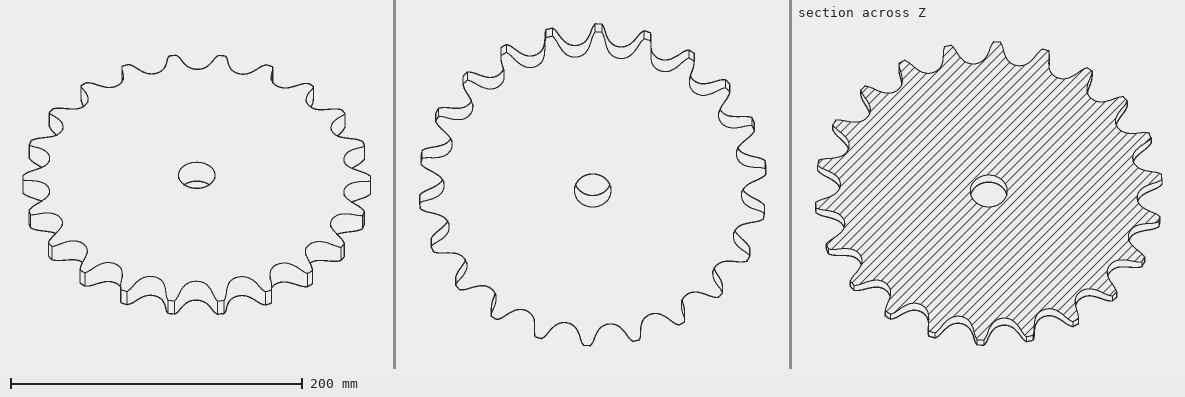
import cadquery as cq
import math

tooth_count = 22
outer_diameter = 238.3
pitch_diameter = 223.0
roller_diameter = 19.0
thickness = 18.5
bore_diameter = 25.0
flat_face_diameter = 209.2
tip_thickness = 12.9

half_pitch_angle = math.radians(180 / tooth_count)
seat_angle = math.radians(35 + 60 / tooth_count)
working_angle = math.radians(18 - 56 / tooth_count)
flank_angle = seat_angle - working_angle
seat_radius = 0.5025 * roller_diameter
working_offset = 0.8 * roller_diameter
working_radius = working_offset + seat_radius
topping_offset = 1.4 * roller_diameter

cutter_overhang = 2.5


def polar_offset(origin, distance, angle):
    """Point at a distance and angle from the origin point."""
    return (origin[0] + distance * math.cos(angle), origin[1] + distance * math.sin(angle))


def mirrored(point):
    """Point on the opposite flank of a gap that is centred on the Y axis."""
    return (-point[0], point[1])


def make_blank():
    """Solid disc whose rim tapers on both sides along arcs tangent to the flat faces."""
    flat_radius = flat_face_diameter / 2
    tip_radius = outer_diameter / 2
    half_thickness = thickness / 2
    half_tip = tip_thickness / 2
    taper_length = tip_radius - flat_radius
    taper_depth = half_thickness - half_tip
    taper_radius = (taper_length**2 + taper_depth**2) / (2 * taper_depth)
    taper_mid_angle = math.pi / 2 - math.asin(taper_length / taper_radius) / 2
    taper_centre = (flat_radius, half_thickness - taper_radius)
    taper_mid = polar_offset(taper_centre, taper_radius, taper_mid_angle)
    return (
        cq.Workplane("XZ")
        .moveTo(0, half_thickness)
        .lineTo(flat_radius, half_thickness)
        .threePointArc(taper_mid, (tip_radius, half_tip))
        .lineTo(tip_radius, -half_tip)
        .threePointArc((taper_mid[0], -taper_mid[1]), (flat_radius, -half_thickness))
        .lineTo(0, -half_thickness)
        .close()
        .revolve(360, (0, 0), (0, 1))
    )


def make_gap_cutter():
    """Prism filling the gap between two teeth, centred on the +Y axis."""
    roller_centre = (0, pitch_diameter / 2)
    seat_bottom = (0, roller_centre[1] - seat_radius)
    seat_end = polar_offset(roller_centre, seat_radius, -seat_angle)

    working_centre = polar_offset(roller_centre, working_offset, math.pi - seat_angle)
    working_mid = polar_offset(working_centre, working_radius, -seat_angle + working_angle / 2)
    working_end = polar_offset(working_centre, working_radius, -flank_angle)

    topping_centre = polar_offset(roller_centre, topping_offset, -half_pitch_angle)
    topping_radius = (
        (topping_centre[0] - working_end[0]) * math.cos(flank_angle)
        - (topping_centre[1] - working_end[1]) * math.sin(flank_angle)
    )
    topping_start_angle = math.pi - flank_angle
    past_tooth_axis = topping_offset - pitch_diameter / 2 * math.sin(half_pitch_angle)
    topping_end_angle = math.pi - half_pitch_angle - math.acos(past_tooth_axis / topping_radius)
    topping_mid_angle = (topping_start_angle + topping_end_angle) / 2
    topping_start = polar_offset(topping_centre, topping_radius, topping_start_angle)
    topping_mid = polar_offset(topping_centre, topping_radius, topping_mid_angle)
    topping_end = polar_offset(topping_centre, topping_radius, topping_end_angle)

    return (
        cq.Workplane("XY", origin=(0, 0, -thickness / 2 - cutter_overhang))
        .moveTo(*mirrored(seat_end))
        .threePointArc(seat_bottom, seat_end)
        .threePointArc(working_mid, working_end)
        .lineTo(*topping_start)
        .threePointArc(topping_mid, topping_end)
        .lineTo(*mirrored(topping_end))
        .threePointArc(mirrored(topping_mid), mirrored(topping_start))
        .lineTo(*mirrored(working_end))
        .threePointArc(mirrored(working_mid), mirrored(seat_end))
        .close()
        .extrude(thickness + 2 * cutter_overhang)
    )


sprocket = make_blank().faces(">Z").workplane().hole(bore_diameter)

gap_cutter = make_gap_cutter()
for index in range(tooth_count):
    sprocket = sprocket.cut(gap_cutter.rotate((0, 0, 0), (0, 0, 1), index * 360 / tooth_count))

result = sprocket